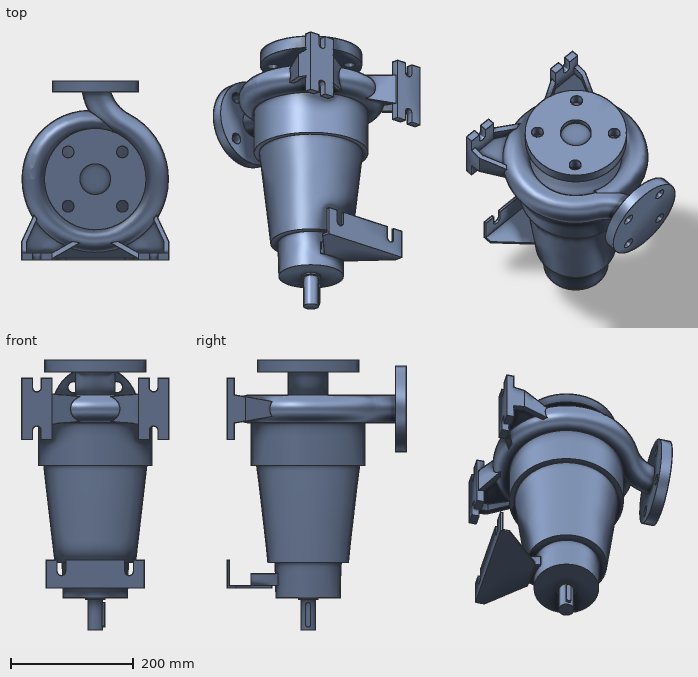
import cadquery as cq
import math

OVERLAP = 1.0

SUCTION_FACE_Z = 80.0
SHAFT_END_Z = -360.0
DISCHARGE_FACE_Y = 160.0
FOOT_FACE_Y = -132.0

FLANGE_HOLES = 4
FIRST_HOLE_ANGLE = 45.0
SUCTION_DIAMETER = 165.0
SUCTION_THICKNESS = 20.0
SUCTION_BOLT_CIRCLE = 125.0
SUCTION_HOLE = 19.0
SUCTION_BORE = 50.0
SUCTION_BORE_DEPTH = 10.0
DISCHARGE_DIAMETER = 140.0
DISCHARGE_THICKNESS = 18.0
DISCHARGE_BOLT_CIRCLE = 100.0
DISCHARGE_HOLE = 18.0

TUBE_RADIUS = 22.6
VOLUTE_RADIUS = 96.6
TONGUE_TUBE_RADIUS = 18.5
TONGUE_VOLUTE_RADIUS = 88.8
TONGUE_SWEEP = 110.0
TONGUE_SECTIONS = 6

NECK_RADIUS = 32.5
COVER_SLOPE = math.tan(math.radians(10))
COVER_NECK_Z = 14.2
COVER_RADIUS = 85.0
CASING_RADIUS = 92.7
CASING_BOTTOM_Z = -92.0
LANTERN_TOP_RADIUS = 84.0
LANTERN_BOTTOM_RADIUS = 65.6
LANTERN_BOTTOM_Z = -250.0
BEARING_TOP_RADIUS = 54.0
BEARING_BOTTOM_RADIUS = 52.5
BEARING_BOTTOM_Z = -307.5
SHAFT_RADIUS = 12.0
SHAFT_LENGTH = 50.0
COLLAR_RADIUS = 16.0

KEY_WIDTH = 8.0
KEY_LENGTH = 40.0
KEY_HEIGHT = 7.0
KEY_TOP_X = 15.5
KEY_GAP = 5.0

SLOT_WIDTH = 14.0
FOOT_OUTER_X = 120.0
FOOT_WIDTH = 50.0
FOOT_HEIGHT = 100.0
FOOT_THICKNESS = 12.0
FOOT_SLOT_X = 95.0
FOOT_SLOT_SPACING = 70.0
RIB_THICKNESS = 8.0
RIB_HEIGHT = 46.0
RIB_BEND_Y = -102.0
RIB_TAPER = math.tan(math.radians(10))
OUTER_RIB_ANGLE = 25.0
OUTER_RIB_END_Y = -50.0
INNER_RIB_ANGLE = 29.5
INNER_RIB_END_X = 20.0

BRACKET_WIDTH = 160.0
BRACKET_TOP_Z = -246.0
BRACKET_BOTTOM_Z = -291.5
BRACKET_THICKNESS = 4.0
BRACKET_SLOT_X = 55.0
BRACKET_SLOT_DEPTH = 25.0
SHELF_SHOULDER_Y = -117.0
SHELF_BACK_Y = -59.0
SHELF_BACK_WIDTH = 48.0
BLOCK_HEIGHT = 19.5
BLOCK_FRONT_Y = -93.0
BLOCK_BACK_Y = -49.0
BLOCK_FRONT_WIDTH = 20.0
BLOCK_BACK_WIDTH = 46.0


def prism(points, bottom_z, height):
    """Extrude a closed XY outline upwards from bottom_z."""
    return cq.Workplane("XY").workplane(offset=bottom_z).polyline(points).close().extrude(height)


def box_between(x_range, y_range, z_range):
    """Box given by its limits along each axis."""
    size = [high - low for low, high in (x_range, y_range, z_range)]
    corner = (x_range[0], y_range[0], z_range[0])
    return cq.Workplane("XY").box(*size, centered=False).translate(corner)


def mirrored_pair(half):
    """A shape with its mirror image across the YZ plane."""
    return half.union(half.mirror("YZ"))


def open_slot(x, round_z, open_z):
    """Slot cutter along Y: round end centred at round_z, running out past open_z."""
    length = FOOT_THICKNESS + 2 * OVERLAP
    front = cq.Workplane("XZ", origin=(0, FOOT_FACE_Y - OVERLAP, 0))
    reach = open_z + math.copysign(OVERLAP, open_z - round_z)
    end = front.center(x, round_z).circle(SLOT_WIDTH / 2).extrude(-length)
    middle_z = (round_z + reach) / 2
    channel = front.center(x, middle_z).rect(SLOT_WIDTH, abs(reach - round_z)).extrude(-length)
    return end.union(channel)


def turned_body():
    """Neck, cover, casing, lantern, bearing housing, collar and shaft as one revolved outline."""
    cover_edge_z = COVER_NECK_Z - COVER_SLOPE * (COVER_RADIUS - NECK_RADIUS)
    shaft_top_z = SHAFT_END_Z + SHAFT_LENGTH
    outline = [
        (0, SUCTION_FACE_Z - SUCTION_THICKNESS),
        (NECK_RADIUS, SUCTION_FACE_Z - SUCTION_THICKNESS),
        (NECK_RADIUS, COVER_NECK_Z),
        (COVER_RADIUS, cover_edge_z),
        (CASING_RADIUS, 0),
        (CASING_RADIUS, CASING_BOTTOM_Z),
        (LANTERN_TOP_RADIUS, CASING_BOTTOM_Z),
        (LANTERN_BOTTOM_RADIUS, LANTERN_BOTTOM_Z),
        (BEARING_TOP_RADIUS, LANTERN_BOTTOM_Z),
        (BEARING_BOTTOM_RADIUS, BEARING_BOTTOM_Z),
        (COLLAR_RADIUS, BEARING_BOTTOM_Z),
        (COLLAR_RADIUS, shaft_top_z),
        (SHAFT_RADIUS, shaft_top_z),
        (SHAFT_RADIUS, SHAFT_END_Z),
        (0, SHAFT_END_Z),
    ]
    return cq.Workplane("XZ").polyline(outline).close().revolve(360, (0, 0), (0, 1))


def shaft_key():
    """Round-ended key standing out of the shaft on the +X side."""
    middle_z = SHAFT_END_Z + SHAFT_LENGTH - KEY_GAP - KEY_LENGTH / 2
    plane = cq.Workplane("YZ", origin=(KEY_TOP_X - KEY_HEIGHT, 0, middle_z))
    return plane.slot2D(KEY_LENGTH, KEY_WIDTH, 90).extrude(KEY_HEIGHT)


def flange(plane, diameter, thickness, bolt_circle, hole):
    """Round flange grown along the plane normal, with evenly spaced bolt holes."""
    disc = plane.circle(diameter / 2).extrude(thickness)
    holes = plane.polarArray(bolt_circle / 2, FIRST_HOLE_ANGLE, 360, FLANGE_HOLES)
    return disc.cut(holes.circle(hole / 2).extrude(thickness))


def suction_flange():
    base_z = SUCTION_FACE_Z - SUCTION_THICKNESS
    plane = cq.Workplane("XY", origin=(0, 0, base_z))
    return flange(plane, SUCTION_DIAMETER, SUCTION_THICKNESS, SUCTION_BOLT_CIRCLE, SUCTION_HOLE)


def suction_bore():
    plane = cq.Workplane("XY", origin=(0, 0, SUCTION_FACE_Z - SUCTION_BORE_DEPTH))
    return plane.circle(SUCTION_BORE / 2).extrude(SUCTION_BORE_DEPTH + OVERLAP)


def discharge_flange():
    plane = cq.Workplane("XZ", origin=(0, DISCHARGE_FACE_Y, 0))
    return flange(
        plane, DISCHARGE_DIAMETER, DISCHARGE_THICKNESS, DISCHARGE_BOLT_CIRCLE, DISCHARGE_HOLE
    )


def volute_tube():
    """Constant tube from the -X side around -Y and +X, then curving back out to the discharge."""
    leave_angle = 2 * math.atan(VOLUTE_RADIUS / DISCHARGE_FACE_Y)
    outlet_radius = VOLUTE_RADIUS * math.cos(leave_angle) / (1 - math.cos(leave_angle))
    half_turn = leave_angle / 2

    def on_volute(angle):
        return (VOLUTE_RADIUS * math.cos(angle), VOLUTE_RADIUS * math.sin(angle))

    outlet_middle = (
        outlet_radius * (1 - math.cos(half_turn)),
        DISCHARGE_FACE_Y - outlet_radius * math.sin(half_turn),
    )
    path = (
        cq.Workplane("XY")
        .moveTo(-VOLUTE_RADIUS, 0)
        .threePointArc(on_volute((leave_angle - math.pi) / 2), on_volute(leave_angle))
        .threePointArc(outlet_middle, (0, DISCHARGE_FACE_Y))
    )
    section = cq.Workplane("XZ", origin=(-VOLUTE_RADIUS, 0, 0)).circle(TUBE_RADIUS)
    return section.sweep(path)


def volute_tongue():
    """Tube that shrinks from the -X side towards the outlet, ending beneath the outlet arc."""
    wires = []
    for index in range(TONGUE_SECTIONS):
        share = index / (TONGUE_SECTIONS - 1)
        angle = math.pi - math.radians(TONGUE_SWEEP) * share
        centre_radius = VOLUTE_RADIUS + (TONGUE_VOLUTE_RADIUS - VOLUTE_RADIUS) * share**2
        tube_radius = TUBE_RADIUS + (TONGUE_TUBE_RADIUS - TUBE_RADIUS) * share**2
        centre = cq.Vector(centre_radius * math.cos(angle), centre_radius * math.sin(angle), 0)
        tangent = cq.Vector(math.sin(angle), -math.cos(angle), 0)
        wires.append(cq.Wire.makeCircle(tube_radius, centre, tangent))
    return cq.Workplane(obj=cq.Solid.makeLoft(wires))


def rib_envelope():
    """Tapered band, thinning towards +Y, that limits the height of the ribs."""
    foot_inner_y = FOOT_FACE_Y + FOOT_THICKNESS

    def half_height(y):
        return RIB_HEIGHT / 2 - RIB_TAPER * (y - foot_inner_y)

    front_half = half_height(FOOT_FACE_Y)
    back_half = half_height(0)
    outline = [
        (FOOT_FACE_Y, -front_half),
        (0, -back_half),
        (0, back_half),
        (FOOT_FACE_Y, front_half),
    ]
    plane = cq.Workplane("YZ", origin=(-FOOT_OUTER_X, 0, 0))
    return plane.polyline(outline).close().extrude(FOOT_OUTER_X)


def casing_foot():
    """Foot on the -X side: slotted plate, bent outer rib, leaning inner rib and a web between."""
    foot_inner_x = -FOOT_OUTER_X + FOOT_WIDTH
    foot_inner_y = FOOT_FACE_Y + FOOT_THICKNESS
    half_height = FOOT_HEIGHT / 2
    plate = box_between(
        (-FOOT_OUTER_X, foot_inner_x), (FOOT_FACE_Y, foot_inner_y), (-half_height, half_height)
    )
    for side in (-1, 1):
        plate = plate.cut(open_slot(-FOOT_SLOT_X, side * FOOT_SLOT_SPACING / 2, side * half_height))

    outer_shift = (OUTER_RIB_END_Y - RIB_BEND_Y) * math.tan(math.radians(OUTER_RIB_ANGLE))
    rib_inner_x = -FOOT_OUTER_X + RIB_THICKNESS
    outer_rib = [
        (-FOOT_OUTER_X, foot_inner_y),
        (-FOOT_OUTER_X, RIB_BEND_Y),
        (-FOOT_OUTER_X + outer_shift, OUTER_RIB_END_Y),
        (rib_inner_x + outer_shift, OUTER_RIB_END_Y),
        (rib_inner_x, RIB_BEND_Y),
        (rib_inner_x, foot_inner_y),
    ]
    inner_lean = math.radians(INNER_RIB_ANGLE)
    inner_rise = (-INNER_RIB_END_X - foot_inner_x) * math.tan(inner_lean)
    inner_rib_low_y = foot_inner_y - RIB_THICKNESS / math.cos(inner_lean)
    inner_rib = [
        (foot_inner_x, inner_rib_low_y),
        (-INNER_RIB_END_X, inner_rib_low_y + inner_rise),
        (-INNER_RIB_END_X, foot_inner_y + inner_rise),
        (foot_inner_x, foot_inner_y),
    ]
    ribs = (
        prism(outer_rib, -half_height, FOOT_HEIGHT)
        .union(prism(inner_rib, -half_height, FOOT_HEIGHT))
        .intersect(rib_envelope())
    )

    web_outline = outer_rib[:2:-1] + inner_rib[2:]
    web = prism(web_outline, -RIB_THICKNESS / 2, RIB_THICKNESS)
    return plate.union(ribs).union(web)


def bearing_bracket():
    """Slotted upright plate, horizontal shelf and the block joining it to the bearing housing."""
    half_width = BRACKET_WIDTH / 2
    shelf_top_z = BRACKET_BOTTOM_Z + BRACKET_THICKNESS
    upright = box_between(
        (-half_width, half_width),
        (FOOT_FACE_Y, FOOT_FACE_Y + BRACKET_THICKNESS),
        (BRACKET_BOTTOM_Z, BRACKET_TOP_Z),
    )
    round_z = BRACKET_TOP_Z - BRACKET_SLOT_DEPTH + SLOT_WIDTH / 2
    for side in (-1, 1):
        upright = upright.cut(open_slot(side * BRACKET_SLOT_X, round_z, BRACKET_TOP_Z))

    shelf_outline = [
        (-half_width, FOOT_FACE_Y),
        (half_width, FOOT_FACE_Y),
        (half_width, SHELF_SHOULDER_Y),
        (SHELF_BACK_WIDTH / 2, SHELF_BACK_Y),
        (-SHELF_BACK_WIDTH / 2, SHELF_BACK_Y),
        (-half_width, SHELF_SHOULDER_Y),
    ]
    shelf = prism(shelf_outline, BRACKET_BOTTOM_Z, BRACKET_THICKNESS)

    block_outline = [
        (-BLOCK_FRONT_WIDTH / 2, BLOCK_FRONT_Y),
        (BLOCK_FRONT_WIDTH / 2, BLOCK_FRONT_Y),
        (BLOCK_BACK_WIDTH / 2, BLOCK_BACK_Y),
        (-BLOCK_BACK_WIDTH / 2, BLOCK_BACK_Y),
    ]
    block = prism(block_outline, shelf_top_z, BLOCK_HEIGHT)
    return upright.union(shelf).union(block)


result = (
    turned_body()
    .union(volute_tube())
    .union(volute_tongue())
    .union(suction_flange())
    .union(discharge_flange())
    .union(shaft_key())
    .union(mirrored_pair(casing_foot()))
    .union(bearing_bracket())
    .cut(suction_bore())
)